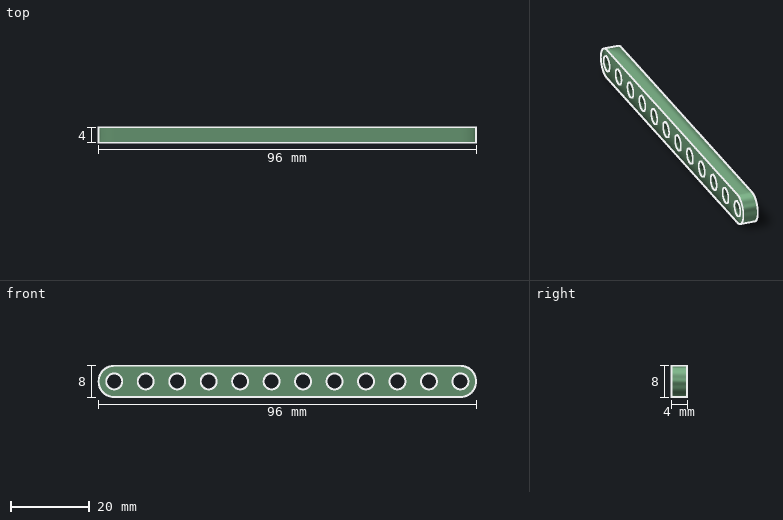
import cadquery as cq

length = 96.0
hole_count = 12

pitch = length / hole_count
height = pitch
thickness = pitch / 2
hole_diameter = pitch / 2


def rounded_bar():
    """Flat bar with full-round ends, centred on the origin, thickness along Y."""
    front_plane = cq.Workplane("XZ", origin=(0, -thickness / 2, 0))
    return front_plane.slot2D(length, height).extrude(-thickness)


def drill_hole_row(bar):
    """Drill the evenly spaced row of through holes along the bar's centreline."""
    return bar.faces("<Y").workplane().rarray(pitch, height, hole_count, 1).hole(hole_diameter)


result = drill_hole_row(rounded_bar())